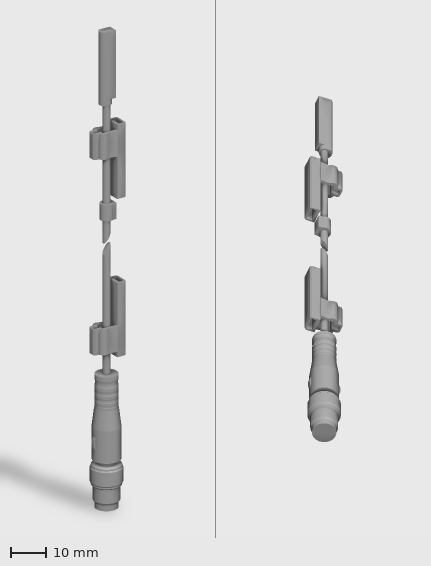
import cadquery as cq
import math

TOTAL_LENGTH = 147.0
CABLE_DIAMETER = 2.2
CABLE_RADIUS = CABLE_DIAMETER / 2

SENSOR_LENGTH = 22.6
SENSOR_WIDTH = 3.1
SENSOR_BACK = 2.2
SENSOR_SHOULDER = -1.6
SENSOR_FRONT = -2.4
SENSOR_TAIL_LENGTH = 1.8

CUT_DROP = 3.4
UPPER_CUT_HEIGHT = 83.1
LOWER_CUT_HEIGHT = 79.7

SLEEVE_BOTTOM = 88.8
SLEEVE_HEIGHT = 5.0
SLEEVE_DIAMETER = 4.0
SLEEVE_BLOCK_START = 1.1
SLEEVE_BACK = 2.4

RAIL_LENGTH = 23.0
RAIL_WIDTH = 4.9
RAIL_FRONT = 2.0
RAIL_BACK = 5.1
RAIL_CHAMFER = 0.5
RAIL_WALL = 0.51
RAIL_FRONT_WALL = 0.9
CLAMP_LENGTH = 8.0
CLAMP_INSET = 1.8
CLAMP_BASE_WIDTH = 5.5
CLAMP_CAVITY_WIDTH = 3.4
CLAMP_CAVITY_FRONT = -2.5
NECK_END = 0.66
NECK_WIDTH = 5.0
BULB_START = -1.1
BULB_START_WIDTH = 5.3
BULB_WIDTH = 5.7
BULB_WIDEST = -1.8
BULB_END = -3.5
NOSE_FRONT = -5.1
NOSE_WIDTH = 3.1
NOSE_CHAMFER_X = 0.6
NOSE_CHAMFER_Y = 0.5
NOSE_SLIT_WIDTH = 1.5
UPPER_CLIP_TOP = 118.2
LOWER_CLIP_BOTTOM = 46.5

GRIP_TOP = 41.2
GRIP_BOTTOM = 30.9
GRIP_DIAMETER = 6.9
GRIP_GROOVES = [(39.9, 37.6), (36.6, 35.3), (34.4, 33.1), (32.4, 31.6)]
GROOVE_SLOPE = 0.075
TAPER_TOP_DIAMETER = 7.0
BODY_TOP = 25.0
BODY_BOTTOM = 15.0
BODY_DIAMETER = 8.5
NECK_DIAMETER = 5.9
NUT_TOP = 13.7
NUT_BOTTOM = 6.8
NUT_DIAMETER = 9.5
NUT_RIM_DIAMETER = 9.0
NUT_RIM_HEIGHT = 0.5
NUT_BEVEL = 0.5
COLLAR_DIAMETER = 8.0
COLLAR_BOTTOM = 2.5
TIP_TOP = 1.8
TIP_DIAMETER = 6.9

MARK_WIDTH = 1.43
MARK_LENGTH = 4.5
MARK_CENTRE = 20.3
MARK_HEIGHT = 0.5



def cable(bottom, top):
    """Round cable between two heights."""
    return cq.Workplane("XY").workplane(offset=bottom).circle(CABLE_RADIUS).extrude(top - bottom)


def below_slant(axis_height):
    """Wide block whose slanted top crosses the cable axis at the given height."""
    slope = CUT_DROP / CABLE_DIAMETER
    reach = CABLE_DIAMETER
    return (
        cq.Workplane("YZ")
        .moveTo(-reach, 0)
        .lineTo(reach, 0)
        .lineTo(reach, axis_height + slope * reach)
        .lineTo(-reach, axis_height - slope * reach)
        .close()
        .extrude(reach, both=True)
    )



def make_sensor():
    """Sensor with a rounded front, a narrower tail and a slant-cut cable."""
    half = SENSOR_WIDTH / 2
    bottom = TOTAL_LENGTH - SENSOR_LENGTH

    def rounded_front(height):
        return (
            cq.Workplane("XY")
            .workplane(offset=height)
            .moveTo(half, SENSOR_SHOULDER)
            .threePointArc((0, SENSOR_FRONT), (-half, SENSOR_SHOULDER))
        )

    tail = (
        rounded_front(bottom)
        .lineTo(-half, 0)
        .threePointArc((0, half), (half, 0))
        .close()
        .extrude(SENSOR_TAIL_LENGTH)
    )
    head = (
        rounded_front(bottom + SENSOR_TAIL_LENGTH)
        .lineTo(-half, SENSOR_BACK)
        .lineTo(half, SENSOR_BACK)
        .close()
        .extrude(SENSOR_LENGTH - SENSOR_TAIL_LENGTH)
    )
    lead = cable(LOWER_CUT_HEIGHT, bottom).cut(below_slant(UPPER_CUT_HEIGHT))
    return head.union(tail).union(lead)



def make_sleeve():
    """Round sleeve with a flat block behind the cable."""
    radius = SLEEVE_DIAMETER / 2
    block_half = math.sqrt(radius**2 - SLEEVE_BLOCK_START**2)
    return (
        cq.Workplane("XY")
        .workplane(offset=SLEEVE_BOTTOM)
        .moveTo(-block_half, SLEEVE_BLOCK_START)
        .threePointArc((0, -radius), (block_half, SLEEVE_BLOCK_START))
        .lineTo(block_half, SLEEVE_BACK)
        .lineTo(-block_half, SLEEVE_BACK)
        .close()
        .extrude(SLEEVE_HEIGHT)
        .cut(cable(SLEEVE_BOTTOM, SLEEVE_BOTTOM + SLEEVE_HEIGHT))
    )



def make_rail():
    """Hollow rail, open at both ends."""
    depth = RAIL_BACK - RAIL_FRONT
    middle = (RAIL_BACK + RAIL_FRONT) / 2
    cavity_depth = depth - RAIL_WALL - RAIL_FRONT_WALL
    cavity_middle = RAIL_FRONT + RAIL_FRONT_WALL + cavity_depth / 2
    cavity = (
        cq.Workplane("XY")
        .center(0, cavity_middle)
        .rect(RAIL_WIDTH - 2 * RAIL_WALL, cavity_depth)
        .extrude(RAIL_LENGTH)
    )
    return (
        cq.Workplane("XY")
        .center(0, middle)
        .rect(RAIL_WIDTH, depth)
        .extrude(RAIL_LENGTH)
        .edges("|Z and >Y")
        .chamfer(RAIL_CHAMFER)
        .cut(cavity)
    )


def make_clamp():
    """Hollow clamp: straight neck, rounded bulb and blunt nose, symmetric about X = 0."""
    base = CLAMP_BASE_WIDTH / 2
    neck = NECK_WIDTH / 2
    bulb_start = BULB_START_WIDTH / 2
    bulb = BULB_WIDTH / 2
    nose = NOSE_WIDTH / 2
    nose_tip = nose - NOSE_CHAMFER_X
    nose_shoulder = NOSE_FRONT + NOSE_CHAMFER_Y
    half_outline = (
        cq.Workplane("XY")
        .moveTo(0, RAIL_FRONT)
        .lineTo(base, RAIL_FRONT)
        .lineTo(neck, NECK_END)
        .tangentArcPoint((bulb_start, BULB_START), relative=False)
        .threePointArc((bulb, BULB_WIDEST), (nose, BULB_END))
        .lineTo(nose, nose_shoulder)
        .lineTo(nose_tip, NOSE_FRONT)
        .lineTo(0, NOSE_FRONT)
        .close()
        .extrude(CLAMP_LENGTH)
    )
    cavity_depth = RAIL_FRONT - CLAMP_CAVITY_FRONT
    cavity = (
        cq.Workplane("XY")
        .center(0, RAIL_FRONT - cavity_depth / 2)
        .rect(CLAMP_CAVITY_WIDTH, cavity_depth)
        .extrude(CLAMP_LENGTH)
    )
    slit_depth = CLAMP_CAVITY_FRONT - nose_shoulder
    slit = (
        cq.Workplane("XY")
        .center(0, CLAMP_CAVITY_FRONT - slit_depth / 2)
        .rect(NOSE_SLIT_WIDTH, slit_depth)
        .extrude(CLAMP_LENGTH)
    )
    return half_outline.union(half_outline.mirror("YZ")).cut(cavity).cut(slit)


def make_clip():
    """Clip standing on Z = 0 with its clamp near the bottom."""
    return make_rail().union(make_clamp().translate((0, 0, CLAMP_INSET)))



def make_plug_turning():
    """Revolved plug body, from the grip down to the tip."""
    grip = GRIP_DIAMETER / 2
    profile = cq.Workplane("XZ").moveTo(0, GRIP_TOP).lineTo(grip, GRIP_TOP)
    for top, bottom in GRIP_GROOVES:
        depth = GROOVE_SLOPE * (top - bottom)
        profile = profile.lineTo(grip, top)
        profile = profile.threePointArc((grip - depth, (top + bottom) / 2), (grip, bottom))
    body = BODY_DIAMETER / 2
    neck = NECK_DIAMETER / 2
    nut = NUT_DIAMETER / 2
    rim = NUT_RIM_DIAMETER / 2
    collar = COLLAR_DIAMETER / 2
    tip = TIP_DIAMETER / 2
    profile = (
        profile.lineTo(grip, GRIP_BOTTOM)
        .lineTo(TAPER_TOP_DIAMETER / 2, GRIP_BOTTOM)
        .lineTo(body, BODY_TOP)
        .lineTo(body, BODY_BOTTOM)
        .lineTo(neck, BODY_BOTTOM)
        .lineTo(neck, NUT_TOP)
        .lineTo(collar, NUT_TOP)
        .lineTo(rim, NUT_TOP - NUT_BEVEL)
        .lineTo(rim, NUT_TOP - NUT_BEVEL - NUT_RIM_HEIGHT)
        .lineTo(nut, NUT_TOP - 2 * NUT_BEVEL - NUT_RIM_HEIGHT)
        .lineTo(nut, NUT_BOTTOM + 2 * NUT_BEVEL + NUT_RIM_HEIGHT)
        .lineTo(rim, NUT_BOTTOM + NUT_BEVEL + NUT_RIM_HEIGHT)
        .lineTo(rim, NUT_BOTTOM + NUT_BEVEL)
        .lineTo(collar, NUT_BOTTOM)
        .lineTo(collar, COLLAR_BOTTOM)
        .lineTo(tip, TIP_TOP)
        .lineTo(tip, 0)
        .lineTo(0, 0)
        .close()
    )
    return profile.revolve(360, (0, 0, 0), (0, 1, 0))


def make_marks():
    """Arched, round-ended bar through the plug body that stands out at the front and the back."""
    crest = BODY_DIAMETER / 2 + MARK_HEIGHT
    half = MARK_LENGTH / 2
    bar = (
        cq.Workplane("XZ")
        .center(0, MARK_CENTRE)
        .slot2D(MARK_LENGTH, MARK_WIDTH, 90)
        .extrude(crest, both=True)
    )
    arch = (
        cq.Workplane("YZ")
        .moveTo(-crest + MARK_HEIGHT, MARK_CENTRE - half)
        .threePointArc((-crest, MARK_CENTRE), (-crest + MARK_HEIGHT, MARK_CENTRE + half))
        .lineTo(crest - MARK_HEIGHT, MARK_CENTRE + half)
        .threePointArc((crest, MARK_CENTRE), (crest - MARK_HEIGHT, MARK_CENTRE - half))
        .close()
        .extrude(MARK_WIDTH, both=True)
    )
    return bar.intersect(arch)


def make_plug():
    """Plug, raised marks and slant-cut cable as one solid."""
    uncut_lead = cable(GRIP_TOP, LOWER_CUT_HEIGHT + CUT_DROP)
    lead = uncut_lead.intersect(below_slant(LOWER_CUT_HEIGHT))
    return make_plug_turning().union(make_marks()).union(lead)


sensor = make_sensor()
sleeve = make_sleeve()
clip = make_clip()
placed_clips = [
    clip.translate((0, 0, LOWER_CLIP_BOTTOM)),
    clip.mirror("XY").translate((0, 0, UPPER_CLIP_TOP)),
]
plug = make_plug()

bodies = [sensor, sleeve, *placed_clips, plug]
result = cq.Compound.makeCompound([body.solids().val() for body in bodies])